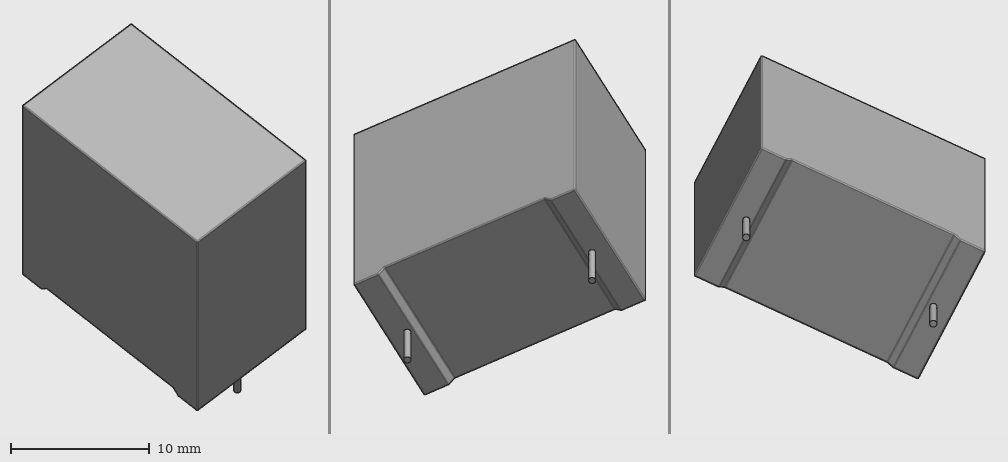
import cadquery as cq

body_length = 18.0
body_width = 11.0
total_height = 22.5
pin_length = 3.5
body_height = total_height - pin_length
edge_radius = 0.1

foot_length = 2.0
recess_depth = 0.5

pin_diameter = 0.52
pin_spacing = 15.0
pin_embed = 0.9


def make_body():
    """Body standing on z = 0, recessed between its two feet, all edges rounded."""
    half_length = body_length / 2
    recess_half_bottom = half_length - foot_length
    recess_half_top = recess_half_bottom - recess_depth
    profile = (
        cq.Workplane("XZ")
        .moveTo(-half_length, 0)
        .lineTo(-recess_half_bottom, 0)
        .lineTo(-recess_half_top, recess_depth)
        .lineTo(recess_half_top, recess_depth)
        .lineTo(recess_half_bottom, 0)
        .lineTo(half_length, 0)
        .lineTo(half_length, body_height)
        .lineTo(-half_length, body_height)
        .close()
    )
    return profile.extrude(body_width / 2, both=True).edges().fillet(edge_radius)


def make_pin(x):
    """Straight lead hanging below the body at the given x."""
    return (
        cq.Workplane("XY", origin=(x, 0, -pin_length))
        .circle(pin_diameter / 2)
        .extrude(pin_length + pin_embed)
    )


result = make_body()
for side in (-1, 1):
    result = result.union(make_pin(side * pin_spacing / 2))